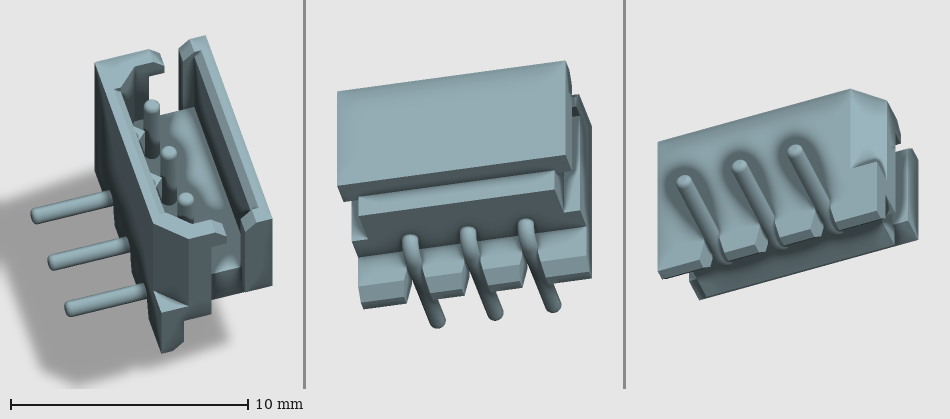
import cadquery as cq
import math


width = 9.9
depth = 4.9
height = 7.9
front_depth = 2.2
floor_bottom = 2.0
floor_top = 3.9
floor_back_inset = 0.98

side_wall = 0.7
front_wall = 0.69
back_wall = 0.71
cavity_width = width - 2 * side_wall
cavity_corner = 0.87
rim_chamfer = 0.31

back_ear_depth = 1.21
back_wall_height = 4.9
edge_chamfer = 0.495

hook_reach = 0.68
hook_height = 0.99

foot_depth = 1.0

corner_cut = 1.2
corner_cut_depth = 4.9

rib_half_width = 0.44
rib_top = 7.41

pin_count = 3
pin_pitch = 2.5
pin_diameter = 0.7
pin_radius = pin_diameter / 2
pin_tip_fillet = 0.2
pin_y = 1.8
pin_z = 1.3
pin_top = rib_top
pin_overhang = 3.49
bend_radius = 0.6

slot_mouth_half_width = 0.56

pin_positions = [(i - (pin_count - 1) / 2) * pin_pitch for i in range(pin_count)]
rib_positions = [(a + b) / 2 for a, b in zip(pin_positions, pin_positions[1:])]


def extrude_side_profile(points, length):
    """Extrude a (Y, Z) outline along X, centred on X = 0."""
    return cq.Workplane("YZ").polyline(points).close().extrude(length / 2, both=True)


def make_front_block():
    hook_end = front_depth + hook_reach
    return extrude_side_profile([
        (0, 0),
        (foot_depth - edge_chamfer, 0),
        (foot_depth, edge_chamfer),
        (foot_depth, floor_bottom),
        (front_depth, floor_bottom),
        (front_depth, height - hook_height),
        (hook_end, height - hook_height),
        (hook_end, height - edge_chamfer),
        (hook_end - edge_chamfer, height),
        (0, height),
    ], width)


def make_back_wall():
    ear_front = depth - back_ear_depth
    bottom = height - back_wall_height
    return extrude_side_profile([
        (ear_front, bottom),
        (depth, bottom),
        (depth, height),
        (ear_front + edge_chamfer, height),
        (ear_front, height - edge_chamfer),
    ], width)


def make_floor():
    return extrude_side_profile([
        (0, floor_bottom),
        (depth - floor_back_inset, floor_bottom),
        (depth - floor_back_inset, floor_top),
        (0, floor_top),
    ], cavity_width)


def make_cavity():
    half = cavity_width / 2
    outline = [
        (-half, depth - back_wall),
        (-half, front_wall + cavity_corner),
        (-half + cavity_corner, front_wall),
        (half - cavity_corner, front_wall),
        (half, front_wall + cavity_corner),
        (half, depth - back_wall),
    ]
    pocket = cq.Workplane("XY").workplane(offset=floor_top).polyline(outline).close()
    return pocket.extrude(height - floor_top)


def make_rim_chamfer(y_inner, outward, length):
    """Wedge that bevels the top inner edge of a wall; outward is the Y sign away from the cavity."""
    return extrude_side_profile([
        (y_inner, height - rim_chamfer),
        (y_inner + outward * rim_chamfer, height),
        (y_inner, height),
    ], length)


def make_corner_cut():
    right = width / 2
    wedge = cq.Workplane("XY").workplane(offset=height - corner_cut_depth)
    wedge = wedge.polyline([(right - corner_cut, 0), (right, 0), (right, corner_cut)]).close()
    return wedge.extrude(corner_cut_depth)


def make_rib(x):
    rib = cq.Workplane("XY").workplane(offset=floor_top)
    rib = rib.polyline([
        (x - rib_half_width, front_wall),
        (x + rib_half_width, front_wall),
        (x, front_wall + rib_half_width),
    ]).close()
    return rib.extrude(rib_top - floor_top)


def make_pin_slot(x):
    """Round-topped slot for the horizontal leg: straight beside the pin, then flared to the bottom."""
    flare_top = pin_z - pin_radius
    slot = cq.Workplane("XZ", origin=(x, 0, 0)).moveTo(-slot_mouth_half_width, 0)
    slot = slot.lineTo(-pin_radius, flare_top)
    slot = slot.lineTo(-pin_radius, pin_z)
    slot = slot.threePointArc((0, pin_z + pin_radius), (pin_radius, pin_z))
    slot = slot.lineTo(pin_radius, flare_top)
    slot = slot.lineTo(slot_mouth_half_width, 0).close()
    return slot.extrude(-foot_depth)


def make_pin_hole(x):
    hole = cq.Workplane("XY", origin=(x, pin_y, floor_bottom)).circle(pin_radius)
    return hole.extrude(floor_top - floor_bottom)


def make_housing():
    cavity_length = cavity_width - 2 * cavity_corner
    housing = make_front_block().union(make_back_wall()).union(make_floor())
    housing = housing.cut(make_cavity())
    housing = housing.cut(make_rim_chamfer(front_wall, -1, cavity_length))
    housing = housing.cut(make_rim_chamfer(depth - back_wall, 1, cavity_width))
    housing = housing.cut(make_corner_cut())
    for x in rib_positions:
        housing = housing.union(make_rib(x))
    for x in pin_positions:
        housing = housing.cut(make_pin_slot(x)).cut(make_pin_hole(x))
    return housing


def make_pin(x):
    """Right-angle pin: horizontal leg to the front, a quarter bend, then an upright leg."""
    bend_y = pin_y - bend_radius
    bend_z = pin_z + bend_radius
    half_arc = bend_radius * math.sqrt(0.5)
    path = cq.Workplane("YZ", origin=(x, 0, 0)).moveTo(-pin_overhang, pin_z).lineTo(bend_y, pin_z)
    path = path.threePointArc((bend_y + half_arc, bend_z - half_arc), (pin_y, bend_z))
    path = path.lineTo(pin_y, pin_top)
    section = cq.Workplane("XZ", origin=(x, -pin_overhang, pin_z)).circle(pin_radius)
    pin = section.sweep(path)
    return pin.faces("<Y or >Z").edges().fillet(pin_tip_fillet)


housing = make_housing()
pins = [make_pin(x) for x in pin_positions]

result = cq.Compound.makeCompound([housing.val(), *[pin.val() for pin in pins]])